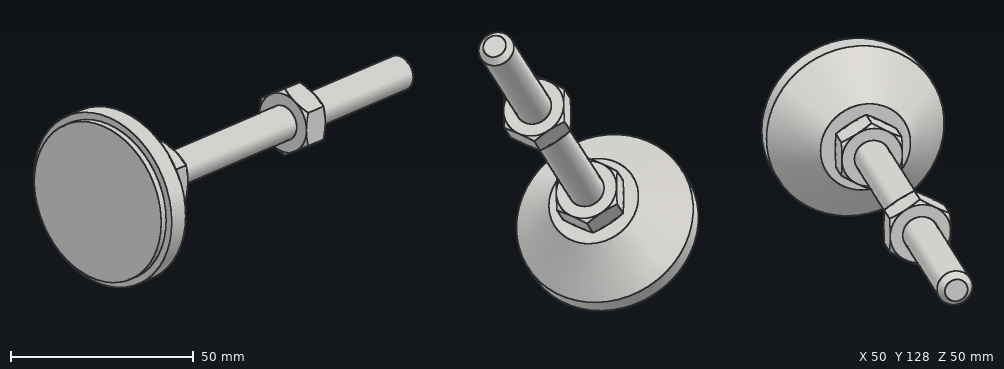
import cadquery as cq
import math

total_length = 128.0
foot_diameter = 50.0
pad_diameter = 46.0
pad_thickness = 2.0
rim_top = 8.0
foot_height = 20.0
cone_top_diameter = 25.3

rod_diameter = 10.0
tip_chamfer = 1.8

nut_flats = 17.0
nut_height = 8.0
nut_bevel_angle = 30.0
lock_nut_start = 77.5


def cylinder(diameter, start, length):
    """Cylinder about the Y axis, running in +Y from start."""
    plane = cq.Workplane("XZ", origin=(0, start, 0))
    return plane.circle(diameter / 2).extrude(-length)


def make_foot():
    """Pad, straight rim and cone revolved about the Y axis."""
    profile = [
        (0, 0),
        (pad_diameter / 2, 0),
        (pad_diameter / 2, pad_thickness),
        (foot_diameter / 2, pad_thickness),
        (foot_diameter / 2, rim_top),
        (cone_top_diameter / 2, foot_height),
        (0, foot_height),
    ]
    return cq.Workplane("XY").polyline(profile).close().revolve(360, (0, 0), (0, 1))


def make_nut(start):
    """Hexagon nut with corners on Z and both ends bevelled."""
    flat_radius = nut_flats / 2
    corner_radius = flat_radius / math.cos(math.pi / 6)
    bevel_height = (corner_radius - flat_radius) * math.tan(math.radians(nut_bevel_angle))
    end = start + nut_height

    hexagon = (
        cq.Workplane("XZ", origin=(0, start, 0))
        .transformed(rotate=(0, 0, 90))
        .polygon(6, 2 * corner_radius)
        .extrude(-nut_height)
    )
    bevel_profile = [
        (0, start),
        (flat_radius, start),
        (corner_radius, start + bevel_height),
        (corner_radius, end - bevel_height),
        (flat_radius, end),
        (0, end),
    ]
    bevel_envelope = cq.Workplane("XY").polyline(bevel_profile).close().revolve(360, (0, 0), (0, 1))
    return hexagon.intersect(bevel_envelope)


rod = cylinder(rod_diameter, foot_height, total_length - foot_height)
rod = rod.faces(">Y").chamfer(tip_chamfer)

result = make_foot().union(rod)
for nut_start in (foot_height, lock_nut_start):
    result = result.union(make_nut(nut_start))